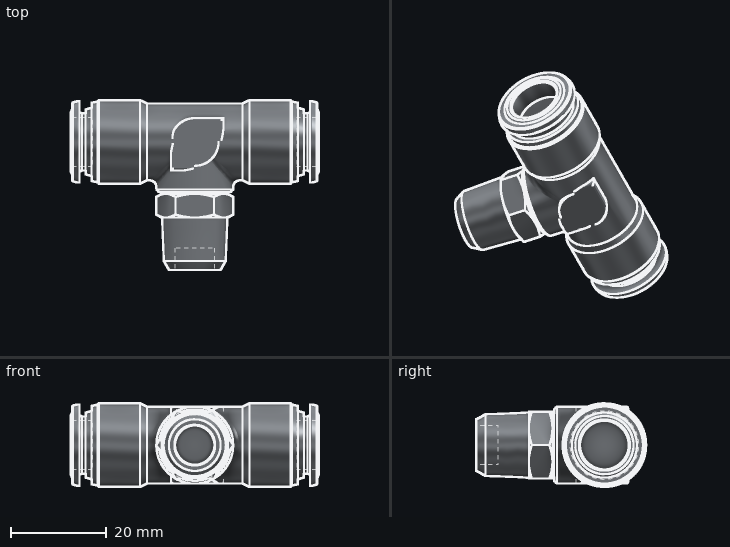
import cadquery as cq
import math

overall_length = 52.0
overall_width = 35.55
sleeve_diameter = 17.5
core_radius = 8.05
half_length = overall_length / 2

sleeve_radius = sleeve_diameter / 2
sleeve_inner_end = 11.45
sleeve_shoulder_length = 1.45
sleeve_outer_end = 20.0
sleeve_bevel_radius = 8.5
sleeve_bevel_end = 20.35
sleeve_face = 21.6
sleeve_face_radius = 8.2

cap_root_radius = 7.2
cap_face = 22.85
cap_face_radius = 6.8

neck_radius = 6.05
neck_flare_start = 23.6
neck_flare_radius = 6.25
flange_back = 24.1
flange_radius = 8.55
flange_taper_start = 24.6
flange_rim = 25.5
flange_rim_radius = 8.25
flange_front = 25.7
flange_front_radius = 8.05
lip_base_radius = 6.8
lip_radius = 6.1

socket_radius = 5.1
socket_chamfer = 0.25
socket_depth = 4.65

branch_end = 10.5
branch_chamfer = 0.55
groove_radius = 6.7
hex_start = 10.85
hex_end = 15.8
hex_sides = 6
hex_across_flats = 14.0
hex_bevel_angle = 30.0
thread_root_radius = 6.85
thread_tip_start = 24.85
thread_tip_radius = 6.5
branch_tip = overall_width - sleeve_radius
branch_tip_radius = 5.4
branch_bore_radius = 4.1
branch_bore_chamfer = 0.15
branch_bore_depth = 4.6

blend_radius = 1.3

pad_arc_radius = 5.0
pad_reach = 6.0
pad_edge_radius = 0.495


def revolve_about_x(points):
    """Full turn about the X axis of an outline given as (x, radius) points."""
    return cq.Workplane("XY").polyline(points).close().revolve(360, (0, 0), (1, 0))


def revolve_about_y(points):
    """Full turn about the Y axis of an outline given as (radius, y) points."""
    return cq.Workplane("XY").polyline(points).close().revolve(360, (0, 0), (0, 1))


def make_pad():
    """Upper pad: two rounded and two square corners, top edge rounded off."""
    arc_mid = pad_arc_radius * math.sqrt(0.5)
    pad = (
        cq.Workplane("XY")
        .moveTo(0, pad_arc_radius)
        .lineTo(pad_reach, pad_arc_radius)
        .lineTo(pad_reach, 0)
        .lineTo(pad_arc_radius, 0)
        .threePointArc((arc_mid, -arc_mid), (0, -pad_arc_radius))
        .lineTo(0, -pad_reach)
        .lineTo(-pad_arc_radius, -pad_reach)
        .lineTo(-pad_arc_radius, 0)
        .threePointArc((-arc_mid, arc_mid), (0, pad_arc_radius))
        .close()
        .extrude(core_radius)
    )
    tolerance = 0.05
    rounded_edges = []
    for edge in pad.faces(">Z").edges().vals():
        middle = edge.Center()
        if middle.x < -tolerance or middle.y > tolerance:
            rounded_edges.append(edge)
    return pad.newObject(rounded_edges).fillet(pad_edge_radius)


def make_crossing():
    """Run and branch cylinders with both pads and the blend between them."""
    run = cq.Workplane("YZ").circle(core_radius).extrude(sleeve_inner_end, both=True)
    branch = cq.Workplane("XZ").circle(core_radius).extrude(branch_end)
    branch = branch.faces("<Y").chamfer(branch_chamfer)
    pad = make_pad()
    body = run.union(branch).union(pad).union(pad.mirror("XY"))
    seams = [edge for edge in body.edges("%ELLIPSE").vals() if edge.BoundingBox().ymin < -pad_reach]
    return body.newObject(seams).fillet(blend_radius)


def make_run_end():
    """Sleeve, seal cap and release collar at the +X end of the run."""
    return revolve_about_x([
        (sleeve_inner_end - sleeve_shoulder_length, 0),
        (sleeve_inner_end - sleeve_shoulder_length, core_radius),
        (sleeve_inner_end, sleeve_radius),
        (sleeve_outer_end, sleeve_radius),
        (sleeve_bevel_end, sleeve_bevel_radius),
        (sleeve_face, sleeve_face_radius),
        (sleeve_face, cap_root_radius),
        (cap_face, cap_face_radius),
        (cap_face, neck_radius),
        (neck_flare_start, neck_radius),
        (flange_back, neck_flare_radius),
        (flange_back, flange_radius),
        (flange_taper_start, flange_radius),
        (flange_rim, flange_rim_radius),
        (flange_front, flange_front_radius),
        (flange_front, lip_base_radius),
        (half_length, lip_radius),
        (half_length, 0),
    ])


def make_socket():
    """Blind tube socket, bored from the +X face."""
    return revolve_about_x([
        (half_length - socket_depth, 0),
        (half_length - socket_depth, socket_radius),
        (half_length - socket_chamfer, socket_radius),
        (half_length, socket_radius + socket_chamfer),
        (half_length, 0),
    ])


def make_hex():
    """Hexagon with corners on +X and -X, corners bevelled on both end faces."""
    inner = hex_across_flats / 2
    outer = inner / math.cos(math.pi / hex_sides)
    drop = (outer - inner) * math.tan(math.radians(hex_bevel_angle))
    prism = (
        cq.Workplane("XZ", origin=(0, -hex_start, 0))
        .polygon(hex_sides, 2 * outer)
        .extrude(hex_end - hex_start)
    )
    bevel = revolve_about_y([
        (0, -hex_start),
        (inner, -hex_start),
        (outer, -hex_start - drop),
        (outer, -hex_end + drop),
        (inner, -hex_end),
        (0, -hex_end),
    ])
    return prism.intersect(bevel)


def make_stem():
    """Groove below the branch, core of the hexagon and the tapered thread."""
    return revolve_about_y([
        (0, 0),
        (groove_radius, 0),
        (groove_radius, -hex_end),
        (thread_root_radius, -hex_end),
        (thread_tip_radius, -thread_tip_start),
        (branch_tip_radius, -branch_tip),
        (0, -branch_tip),
    ])


def make_branch_bore():
    """Blind bore, entered from the threaded tip."""
    return revolve_about_y([
        (0, -branch_tip + branch_bore_depth),
        (branch_bore_radius, -branch_tip + branch_bore_depth),
        (branch_bore_radius, -branch_tip + branch_bore_chamfer),
        (branch_bore_radius + branch_bore_chamfer, -branch_tip),
        (0, -branch_tip),
    ])


run_end = make_run_end()
socket = make_socket()

result = make_crossing().union(run_end).union(run_end.mirror("YZ"))
result = result.union(make_stem()).union(make_hex())
result = result.cut(socket).cut(socket.mirror("YZ")).cut(make_branch_bore())